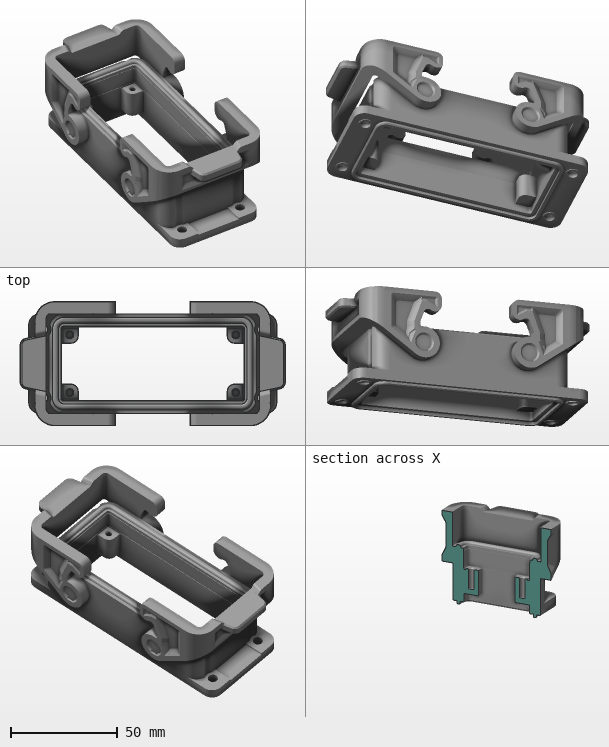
import cadquery as cq
import math

HEIGHT = 45.3
FLANGE_BOTTOM = 1.5
FLANGE_TOP = 6.5
BODY_TOP = 28.4
RIDGE_TOP = 29.6
POST_TOP = 18.6
POST_BOTTOM = 5.7

HALF_DEPTH = 23.3
FLANGE_HALF_LENGTH = 58.0
FLANGE_CORNER = 5.3
BODY_HALF_LENGTH = 48.5
BODY_CORNER = 7.1
LIP_HALF_LENGTH = 46.6
LIP_HALF_DEPTH = 21.2
LIP_CHAMFER = 0.5
CAVITY_MOUTH = 26.8
CAVITY_HALF_LENGTH = 42.8
CAVITY_HALF_DEPTH = 17.4
CAVITY_CORNER = 1.5
LIP_WALL = 1.9
CAVITY_STEP = 0.19
RIDGE_INSET = 1.6
RIDGE_WIDTH = 2.9

MOUNT_X = 51.5
MOUNT_Y = 16.0
MOUNT_RADIUS = 2.4
SCALLOP_RADIUS = 3.8
PAD_RADIUS = 3.3
PAD_HEIGHT = 0.4
FLANGE_RECESS_DEPTH = 0.7
FLANGE_RECESS_HALF_WIDTH = 11.0

POST_X = 38.8
POST_Y = 13.5
POST_REACH = 4.0
POST_CORNER = 3.5
POST_SEAT_GAP = 0.9
POST_SEAT_HEIGHT = 0.6
POST_HOLE_RADIUS = 1.4
POST_HOLE_DEPTH = 9.9
POST_COUNTERSINK = 0.5

HALF_WIDTH = 29.0
LEVER_END = 55.0
LEVER_INNER_END = 49.8
LEVER_CORNER = 9.3
CORNER_FLAT_ANGLE = 28
CORNER_FLAT_DEPTH = 0.09
LEVER_INNER_CORNER = 2.2
LEVER_HEEL = 31.4
PIVOT_X = -26.0
PIVOT_Z = 20.1
PIVOT_RADIUS = 7.6
NOSE_X = -17.5
NOSE_BOTTOM = 33.5
NOSE_RADIUS = 3.3
NOTCH_X = -25.3
NOTCH_Z = 37.2
NOTCH_RADIUS = 2.1
THROAT_X = -28.0
THROAT_TOP = 30.1
THROAT_RADIUS = 0.7

RECESS_RADIUS = 4.6
RECESS_DEPTH = 0.9
KEY_WIDTH = 3.7
KEY_REACH = 4.5

POCKET_LEFT = -42.4
POCKET_RIGHT = -19.6
POCKET_TOP = 42.7
SIDE_POCKET_DEPTH = 1.9
NOSE_POCKET_DEPTH = 0.6
TOE_POCKET_DEPTH = 1.0
END_POCKET_DEPTH = 1.4
END_POCKET_HALF_WIDTH = 18.8
END_POCKET_BOTTOM = 32.9
END_POCKET_TOP = 41.9
POCKET_TAPER = 58
RECESS_TAPER = 45
SIDE_POCKET_CORNER = 2.5
END_POCKET_CORNER = 1.9

TAB_TIP = 62.0
TAB_TOP = 43.4
TAB_BOTTOM = 38.8
TAB_ROOT_HALF_WIDTH = 13.8
TAB_TIP_HALF_WIDTH = 11.3
TAB_CORNER = 3.2
TAB_CHAMFER = 0.7
NOTCH_TAPER = 45
NOTCH_ROUND = 1.9


def rounded_block(half_x, half_y, radius, bottom, top):
    block = cq.Workplane("XY").workplane(offset=bottom).rect(2 * half_x, 2 * half_y).extrude(top - bottom)
    return block.edges("|Z").fillet(radius)


def four_cylinders(x, y, radius, bottom, top):
    plane = cq.Workplane("XY").workplane(offset=bottom)
    return plane.rect(2 * x, 2 * y, forConstruction=True).vertices().circle(radius).extrude(top - bottom)


def both_sides(shape, plane):
    return shape.union(shape.mirror(plane))


def make_ridge():
    """Rounded gasket ridge around the rim; its foot is buried in the body wall."""
    outer = rounded_block(BODY_HALF_LENGTH - RIDGE_INSET, HALF_DEPTH - RIDGE_INSET,
                          BODY_CORNER - RIDGE_INSET, CAVITY_MOUTH, RIDGE_TOP)
    inset = RIDGE_INSET + RIDGE_WIDTH
    inner = rounded_block(BODY_HALF_LENGTH - inset, HALF_DEPTH - inset,
                          BODY_CORNER - inset, CAVITY_MOUTH, RIDGE_TOP)
    ring = outer.cut(inner)
    return ring.faces(">Z").edges().fillet(RIDGE_TOP - BODY_TOP)


def make_posts():
    """Screw posts in the four corners of the cavity, each with a raised seat on top."""
    left = -CAVITY_HALF_LENGTH - CAVITY_STEP
    right = -POST_X + POST_REACH
    near = POST_Y - POST_REACH
    far = CAVITY_HALF_DEPTH + CAVITY_STEP
    seat_left = -CAVITY_HALF_LENGTH + POST_SEAT_GAP
    seat_far = CAVITY_HALF_DEPTH - POST_SEAT_GAP
    seat_bottom = POST_TOP - POST_SEAT_HEIGHT

    def corner_block(x_start, y_end, bottom, top):
        block = (cq.Workplane("XY").workplane(offset=bottom)
                 .center((x_start + right) / 2, (near + y_end) / 2)
                 .rect(right - x_start, y_end - near).extrude(top - bottom))
        return block.edges("|Z and >X and <Y").fillet(POST_CORNER)

    post = corner_block(left, far, POST_BOTTOM, seat_bottom)
    post = post.union(corner_block(seat_left, seat_far, seat_bottom, POST_TOP))
    hole = (cq.Workplane("XY", origin=(-POST_X, POST_Y, POST_TOP))
            .circle(POST_HOLE_RADIUS).extrude(-POST_HOLE_DEPTH))
    countersink = cq.Workplane(cq.Solid.makeCone(
        POST_HOLE_RADIUS + POST_COUNTERSINK, POST_HOLE_RADIUS, POST_COUNTERSINK,
        cq.Vector(-POST_X, POST_Y, POST_TOP), cq.Vector(0, 0, -1)))
    post = post.cut(hole).cut(countersink)
    return both_sides(both_sides(post, "XZ"), "YZ")


def make_housing():
    flange = rounded_block(FLANGE_HALF_LENGTH, HALF_DEPTH, FLANGE_CORNER, FLANGE_BOTTOM, FLANGE_TOP)
    recess = cq.Workplane("XY").box(
        2 * FLANGE_HALF_LENGTH, 2 * FLANGE_RECESS_HALF_WIDTH, 2 * FLANGE_RECESS_DEPTH
    ).translate((0, 0, FLANGE_TOP))
    body = rounded_block(BODY_HALF_LENGTH, HALF_DEPTH, BODY_CORNER, FLANGE_BOTTOM, BODY_TOP)
    body = body.cut(four_cylinders(MOUNT_X, MOUNT_Y, SCALLOP_RADIUS, FLANGE_TOP, BODY_TOP))
    lip = rounded_block(LIP_HALF_LENGTH, LIP_HALF_DEPTH, FLANGE_CORNER, 0, FLANGE_BOTTOM)
    lip = lip.faces("<Z").edges().chamfer(LIP_CHAMFER)
    pads = four_cylinders(MOUNT_X, MOUNT_Y, PAD_RADIUS, FLANGE_BOTTOM - PAD_HEIGHT, FLANGE_BOTTOM)

    lip_opening = rounded_block(LIP_HALF_LENGTH - LIP_WALL, LIP_HALF_DEPTH - LIP_WALL,
                                FLANGE_CORNER - LIP_WALL, 0, FLANGE_BOTTOM)

    housing = flange.cut(recess).union(body).union(lip).union(pads).union(make_ridge())
    housing = housing.cut(four_cylinders(MOUNT_X, MOUNT_Y, MOUNT_RADIUS, 0, FLANGE_TOP))
    cavity_levels = [(-CAVITY_STEP, 0, POST_TOP), (0, POST_TOP, CAVITY_MOUTH),
                     (CAVITY_STEP, CAVITY_MOUTH, RIDGE_TOP)]
    for widening, bottom, top in cavity_levels:
        housing = housing.cut(rounded_block(CAVITY_HALF_LENGTH + widening, CAVITY_HALF_DEPTH + widening,
                                            CAVITY_CORNER, bottom, top))
    return housing.cut(lip_opening).union(make_posts())


def make_lever_profile():
    """Side outline of the left lever, swept across the full width."""
    dx = PIVOT_X + LEVER_END
    dz = PIVOT_Z - LEVER_HEEL
    slope = math.atan2(dz, dx) - math.asin(PIVOT_RADIUS / math.hypot(dx, dz))
    tangent = (PIVOT_X + PIVOT_RADIUS * math.sin(slope), PIVOT_Z - PIVOT_RADIUS * math.cos(slope))
    nose_top = (NOSE_X, HEIGHT)
    nose_bottom = (NOSE_X, NOSE_BOTTOM)
    notch = (NOTCH_X, NOTCH_Z)
    throat_top = (THROAT_X, THROAT_TOP)
    throat_bottom = (THROAT_X, PIVOT_Z + PIVOT_RADIUS)
    profile = (cq.Workplane("XZ", origin=(0, HALF_WIDTH, 0))
               .moveTo(-LEVER_END, HEIGHT).lineTo(*nose_top).lineTo(*nose_bottom).lineTo(*notch)
               .lineTo(*throat_top).lineTo(*throat_bottom).lineTo(PIVOT_X, PIVOT_Z + PIVOT_RADIUS)
               .threePointArc((PIVOT_X + PIVOT_RADIUS, PIVOT_Z), tangent)
               .lineTo(-LEVER_END, LEVER_HEEL).close().extrude(2 * HALF_WIDTH))
    corners = [(nose_top, NOSE_RADIUS), (nose_bottom, NOSE_RADIUS),
               (notch, NOTCH_RADIUS), (throat_bottom, THROAT_RADIUS)]
    for (x, z), radius in corners:
        profile = profile.edges(cq.selectors.NearestToPointSelector((x, 0, z))).fillet(radius)
    return profile


def make_side_cutters():
    """Everything sunk into the front face of the left lever."""
    face = cq.Workplane("XZ", origin=(0, -HALF_WIDTH, 0))

    heel_top = (POCKET_LEFT, POCKET_TOP)
    heel_bottom = (POCKET_LEFT, 25.8)
    toe_tip = (-32.7, 19.1)
    main_outline = [heel_top, (-26.4, POCKET_TOP), (-31.0, 29.9), (-31.0, 27.2), toe_tip, heel_bottom]
    main = face.polyline(main_outline).close().extrude(-SIDE_POCKET_DEPTH, taper=POCKET_TAPER)
    for x, z in (heel_top, heel_bottom):
        corner = cq.selectors.NearestToPointSelector((x, -HALF_WIDTH, z))
        main = main.edges("not #Y").edges(corner).fillet(SIDE_POCKET_CORNER)
    toe_outline = [(-30.3, 25.8), toe_tip, (-35.3, 20.8), (-35.3, 25.8)]
    toe = face.polyline(toe_outline).close().extrude(-TOE_POCKET_DEPTH, taper=POCKET_TAPER)
    nose_outline = [(-27.8, POCKET_TOP), (POCKET_RIGHT, POCKET_TOP), (POCKET_RIGHT, 37.5),
                    (-24.7, 40.3), (-27.8, 40.3)]
    nose = face.polyline(nose_outline).close().extrude(-NOSE_POCKET_DEPTH, taper=POCKET_TAPER)

    recess = (face.center(PIVOT_X, PIVOT_Z).circle(RECESS_RADIUS)
              .extrude(-RECESS_DEPTH, taper=RECESS_TAPER))
    key = (face.center(PIVOT_X, PIVOT_Z - KEY_REACH / 2).rect(KEY_WIDTH, KEY_REACH)
           .extrude(-RECESS_DEPTH))
    return [main, toe, nose, recess, key]


def make_tab():
    tab = (cq.Workplane("XY").workplane(offset=TAB_BOTTOM)
           .polyline([(-LEVER_INNER_END, -TAB_ROOT_HALF_WIDTH), (-TAB_TIP, -TAB_TIP_HALF_WIDTH),
                      (-TAB_TIP, TAB_TIP_HALF_WIDTH), (-LEVER_INNER_END, TAB_ROOT_HALF_WIDTH)])
           .close().extrude(TAB_TOP - TAB_BOTTOM))
    tab = tab.edges("|Z and <X").fillet(TAB_CORNER)
    return tab.faces("<Z or >Z").edges("not >X").chamfer(TAB_CHAMFER)


def make_corner_flat():
    """Block whose inner face trims a narrow upright flat on the rounded front corner."""
    size = 2 * LEVER_CORNER
    distance = LEVER_CORNER - CORNER_FLAT_DEPTH
    block = cq.Workplane("XY").box(size, size, HEIGHT, centered=(True, False, False))
    block = block.translate((0, distance, 0)).rotate((0, 0, 0), (0, 0, 1), 180 - CORNER_FLAT_ANGLE)
    return block.translate((LEVER_CORNER - LEVER_END, LEVER_CORNER - HALF_WIDTH, 0))


def make_lever():
    outer = rounded_block(LEVER_END, HALF_WIDTH, LEVER_CORNER, 0, HEIGHT)
    inner = rounded_block(LEVER_INNER_END, HALF_DEPTH, LEVER_INNER_CORNER, 0, HEIGHT)
    lever = make_lever_profile().intersect(outer.cut(inner)).cut(make_corner_flat())
    for cutter in make_side_cutters():
        lever = lever.cut(cutter).cut(cutter.mirror("XZ"))

    end_pocket = (cq.Workplane("YZ", origin=(-LEVER_END, 0, 0))
                  .center(0, (END_POCKET_BOTTOM + END_POCKET_TOP) / 2)
                  .rect(2 * END_POCKET_HALF_WIDTH, END_POCKET_TOP - END_POCKET_BOTTOM)
                  .extrude(END_POCKET_DEPTH, taper=POCKET_TAPER))
    end_pocket = end_pocket.edges("not #X").fillet(END_POCKET_CORNER)
    tab_top_root = TAB_ROOT_HALF_WIDTH - TAB_CHAMFER
    tab_top_tip = TAB_TIP_HALF_WIDTH - TAB_CHAMFER
    tab_notch = (cq.Workplane("XY").workplane(offset=TAB_TOP)
                 .polyline([(-LEVER_INNER_END, -tab_top_root), (-TAB_TIP, -tab_top_tip),
                            (-TAB_TIP, tab_top_tip), (-LEVER_INNER_END, tab_top_root)])
                 .close().extrude(HEIGHT - TAB_TOP, taper=-NOTCH_TAPER))
    lever = lever.cut(end_pocket).cut(tab_notch)
    wall_middle = -(LEVER_END + LEVER_INNER_END) / 2
    notch_half_width = tab_top_root + (HEIGHT - TAB_TOP) * math.tan(math.radians(NOTCH_TAPER))
    for y in (-notch_half_width, notch_half_width):
        notch_edge = cq.selectors.NearestToPointSelector((wall_middle, y, HEIGHT))
        lever = lever.faces(">Z").edges(notch_edge).fillet(NOTCH_ROUND)
    return lever.union(make_tab())


result = make_housing().union(both_sides(make_lever(), "YZ"))